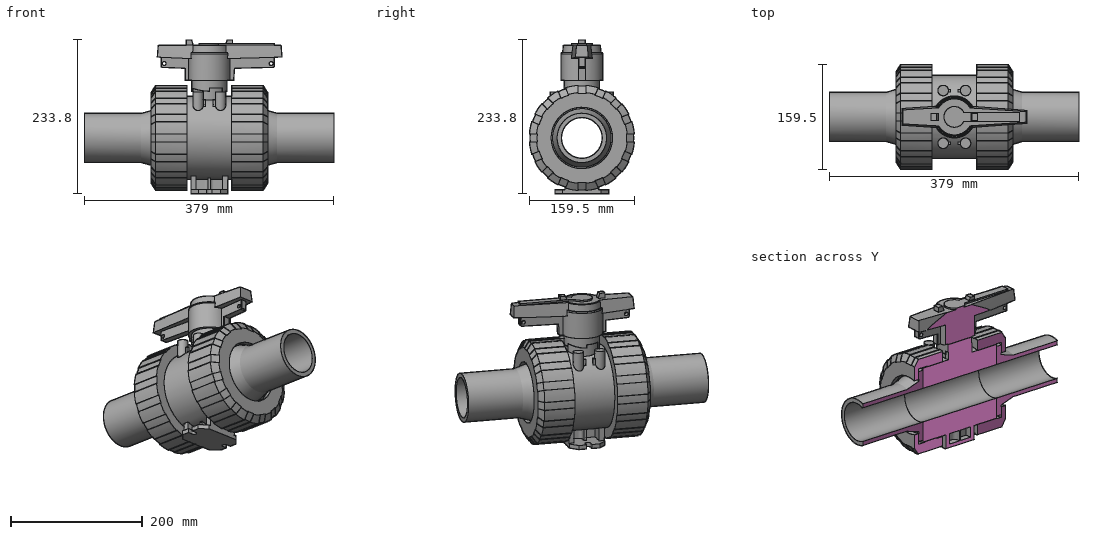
import cadquery as cq
import math


overall_length = 379.0
pipe_radius = 37.5
bore_radius = 30.7
taper_start_x = 103.2
taper_radius = 44.5
collar_radius = 60.0

nut_inner_x = 33.7
nut_outer_x = 88.7
nut_crest_radius = 80.0
nut_groove_depth = 1.2
nut_groove_width = 12.4
nut_groove_count = 16
nut_chamfer_length = 7.2
nut_chamfer_depth = 11.0
nut_opening_radius = 46.6
nut_shoulder_x = 80.0

body_radius = 63.5
body_half_length = 72.0

stem_radius = 27.1
stem_top_z = 87.5
stem_flat_x = 24.8
stem_flat_top_z = 70.5

stop_recess_depth = 0.5
stop_recess_angle = 47.0
stop_recess_top_z = 75.8

peg_radius = 8.0
peg_x = 17.0
peg_y = 40.0
peg_top_z = 70.0
peg_root_z = 32.0
peg_rib_inner_x = 5.9
peg_rib_width = 3.8
peg_rib_top_z = 57.5

foot_bottom_z = -85.0
foot_plate_thickness = 6.6
foot_half_length = 28.1
foot_half_width = 41.0
foot_corner_x = 11.5
foot_corner_y = 12.0
foot_slot_width = 8.2
foot_slot_depth = 12.0
foot_post_length = 8.2
foot_post_half_width = 25.9
foot_wall_half_thickness = 4.0
foot_rib_thickness = 3.6
foot_rib_half_width = 18.0
foot_rib_fillet = 5.0
foot_root_z = -50.0

hub_radius = 31.9
hub_rim_radius = 31.2
hub_rim_start_z = 127.4
hub_rim_z = 129.5
crown_base_radius = 29.5
crown_radius = 28.4
crown_edge = 1.0
handle_top_z = 141.0

arm_bottom_z = 120.5
arm_tip_bottom_z = 122.6
short_arm_length = 79.3
long_arm_length = 110.6
arm_tip_slope = 1.6
arm_root_half_width = 18.0
arm_root_half_width_top = 15.1
short_tip_half_width = 13.0
short_tip_half_width_top = 10.6
long_tip_half_width = 10.0
long_tip_half_width_top = 8.0
arm_tip_chamfer_length = 2.2
arm_tip_chamfer_depth = 0.7

fin_half_thickness = 5.4
fin_edge_chamfer = 1.0
fin_corner_chamfer = 1.6
fin_short_reach = 73.7
fin_long_reach = 98.8
fin_tip_bottom_z = 106.9
fin_root_bottom_z = 105.5
fin_skirt_reach = 37.1
fin_skirt_lean = 1.2
fin_hole_radius = 2.8
fin_hole_inset = 5.1
fin_hole_z = 112.9

pointer_disc_radius = 15.8
pointer_half_width = 6.9
pointer_reach = 98.7
pointer_height = 2.4

lug_outer_x = 35.2
lug_inner_x = 26.8
lug_foot_x = 24.4
lug_half_width = 5.3
lug_top_z = 148.83


def box(x0, x1, y0, y1, z0, z1):
    """Block between two opposite corners."""
    return cq.Workplane("XY").box(x1 - x0, y1 - y0, z1 - z0, centered=False).translate((x0, y0, z0))


def turned_x(profile):
    """Solid of revolution about X from (x, radius) points."""
    return cq.Workplane("XY").polyline(profile).close().revolve(360, (0, 0, 0), (1, 0, 0))


def cylinder_z(radius, z0, z1):
    return cq.Workplane("XY").workplane(offset=z0).circle(radius).extrude(z1 - z0)


def make_stop_recess():
    """Shallow recess in the -Y side of the stem; its upper edge steps at the middle to form a stop."""
    base = cq.Workplane("XY").workplane(offset=body_radius / 2)
    height = stop_recess_top_z - body_radius / 2
    ring = base.circle(stem_radius + 1).circle(stem_radius - stop_recess_depth).extrude(height)
    reach = 2 * stem_radius
    spread = reach * math.tan(math.radians(stop_recess_angle))
    square_half = base.polyline([(0, 0), (0, -reach), (spread, -reach)]).close().extrude(height)
    curved_half = box(-stem_flat_x, 0, -reach, 0, body_radius / 2, stop_recess_top_z)
    curved_top = cq.Workplane("YZ").circle(stop_recess_top_z).extrude(reach, both=True)
    return ring.intersect(square_half.union(curved_half.intersect(curved_top)))


def make_stem():
    stem = cylinder_z(stem_radius, body_radius / 2, stem_top_z)
    for flat_ends in ((-stem_radius, -stem_flat_x), (stem_flat_x, stem_radius)):
        flat = box(*flat_ends, -stem_radius, stem_radius, body_radius / 2, stem_flat_top_z)
        stem = stem.cut(flat)
    recess = make_stop_recess()
    for turn in (0, 180):
        stem = stem.cut(recess.rotate((0, 0, 0), (0, 0, 1), turn))
    return stem


def make_pegs():
    pegs = cq.Workplane("XY")
    for side_x in (-1, 1):
        for side_y in (-1, 1):
            x = side_x * peg_x
            y = side_y * peg_y
            peg = cylinder_z(peg_radius, peg_root_z, peg_top_z).translate((x, y, 0))
            rib_ends = sorted((x, side_x * peg_rib_inner_x))
            rib = box(*rib_ends, y - peg_rib_width / 2, y + peg_rib_width / 2, peg_root_z, peg_rib_top_z)
            pegs = pegs.add(peg.union(rib))
    return pegs


def make_foot():
    plate_top_z = foot_bottom_z + foot_plate_thickness
    flat_x = foot_half_length - foot_corner_x
    flat_y = foot_half_width - foot_corner_y
    plate = (
        cq.Workplane("XY")
        .workplane(offset=foot_bottom_z)
        .polyline([
            (-foot_half_length, -flat_y), (-flat_x, -foot_half_width),
            (flat_x, -foot_half_width), (foot_half_length, -flat_y),
            (foot_half_length, flat_y), (flat_x, foot_half_width),
            (-flat_x, foot_half_width), (-foot_half_length, flat_y),
        ])
        .close()
        .extrude(foot_plate_thickness)
    )
    slots = (
        cq.Workplane("XY")
        .workplane(offset=foot_bottom_z)
        .pushPoints([(0, -foot_half_width), (0, foot_half_width)])
        .slot2D(2 * foot_slot_depth, foot_slot_width, 90)
        .extrude(foot_plate_thickness)
    )
    plate = plate.cut(slots)

    wall = box(-foot_half_length, foot_half_length, -foot_wall_half_thickness, foot_wall_half_thickness,
               plate_top_z, foot_root_z)
    rib = box(-foot_rib_thickness / 2, foot_rib_thickness / 2, -foot_rib_half_width, foot_rib_half_width,
              plate_top_z, foot_root_z)
    corner = cq.selectors.BoxSelector(
        (-foot_rib_thickness, -foot_wall_half_thickness - 1, plate_top_z),
        (foot_rib_thickness, foot_wall_half_thickness + 1, foot_root_z),
    )
    web = wall.union(rib).edges("|Z").edges(corner).fillet(foot_rib_fillet)
    foot = plate.union(web)
    for x in (-foot_half_length, foot_half_length - foot_post_length):
        post = box(x, x + foot_post_length, -foot_post_half_width, foot_post_half_width,
                   plate_top_z, foot_root_z)
        foot = foot.union(post)
    return foot


def make_body():
    barrel = cq.Workplane("YZ").circle(body_radius).extrude(body_half_length, both=True)
    body = barrel.union(make_stem()).union(make_foot())
    for peg in make_pegs().vals():
        body = body.union(cq.Workplane(peg))
    bore = cq.Workplane("YZ").circle(bore_radius).extrude(body_half_length, both=True)
    return body.cut(bore)


def nut_blank(radius):
    return turned_x([
        (nut_inner_x, 0), (nut_inner_x, radius), (nut_outer_x - nut_chamfer_length, radius),
        (nut_outer_x, radius - nut_chamfer_depth), (nut_outer_x, 0),
    ])


def make_nut():
    crests = nut_blank(nut_crest_radius)
    groove = box(nut_inner_x, nut_outer_x, -nut_groove_width / 2, nut_groove_width / 2,
                 nut_opening_radius, nut_crest_radius + 1)
    for i in range(nut_groove_count):
        crests = crests.cut(groove.rotate((0, 0, 0), (1, 0, 0), i * 360 / nut_groove_count))
    nut = crests.union(nut_blank(nut_crest_radius - nut_groove_depth))
    cavity = turned_x([
        (nut_inner_x, 0), (nut_inner_x, body_radius), (nut_shoulder_x, body_radius),
        (nut_shoulder_x, nut_opening_radius), (nut_outer_x, nut_opening_radius), (nut_outer_x, 0),
    ])
    return nut.cut(cavity)


def make_pipe_end():
    return turned_x([
        (body_half_length, bore_radius), (body_half_length, collar_radius),
        (nut_shoulder_x, collar_radius), (nut_shoulder_x, taper_radius),
        (taper_start_x, pipe_radius), (overall_length / 2, pipe_radius),
        (overall_length / 2, bore_radius),
    ])


def make_hub():
    return (
        cq.Workplane("XZ")
        .polyline([
            (0, stem_top_z), (hub_radius, stem_top_z), (hub_radius, hub_rim_start_z),
            (hub_rim_radius, hub_rim_z), (crown_base_radius, hub_rim_z),
            (crown_radius, handle_top_z - crown_edge), (crown_radius - crown_edge, handle_top_z),
            (0, handle_top_z),
        ])
        .close()
        .revolve(360, (0, 0, 0), (0, 1, 0))
    )


def arm_outline(short_x, short_half, root_half, long_x, long_half):
    """Plan of both arms: widest at the stem axis and narrowing to the tips."""
    return [
        (-short_x, -short_half), (0, -root_half), (long_x, -long_half),
        (long_x, long_half), (0, root_half), (-short_x, short_half),
    ]


def make_arms():
    bottom = arm_outline(short_arm_length, short_tip_half_width, arm_root_half_width,
                         long_arm_length, long_tip_half_width)
    top = arm_outline(short_arm_length - arm_tip_slope, short_tip_half_width_top, arm_root_half_width_top,
                      long_arm_length - arm_tip_slope, long_tip_half_width_top)
    arms = (
        cq.Workplane("XY")
        .workplane(offset=arm_bottom_z)
        .polyline(bottom)
        .close()
        .workplane(offset=handle_top_z - arm_bottom_z)
        .polyline(top)
        .close()
        .loft(ruled=True)
    )
    for tip_x, side in ((short_arm_length, -1), (long_arm_length, 1)):
        underside = (
            cq.Workplane("XZ")
            .polyline([
                (side * hub_radius, arm_bottom_z), (side * tip_x, arm_bottom_z),
                (side * tip_x, arm_tip_bottom_z),
            ])
            .close()
            .extrude(arm_root_half_width, both=True)
        )
        top_x = tip_x - arm_tip_slope
        tip_bevel = (
            cq.Workplane("XZ")
            .polyline([
                (side * (top_x - arm_tip_chamfer_length), handle_top_z), (side * tip_x, handle_top_z),
                (side * tip_x, handle_top_z - arm_tip_chamfer_depth),
                (side * top_x, handle_top_z - arm_tip_chamfer_depth),
            ])
            .close()
            .extrude(arm_root_half_width, both=True)
        )
        arms = arms.cut(underside).cut(tip_bevel)
    return arms


def make_fin():
    """Upright web under the arms, with a skirt beside the hub and a hole near each tip."""
    fin = (
        cq.Workplane("XZ")
        .polyline([
            (-fin_skirt_reach, stem_top_z), (-fin_skirt_reach, fin_root_bottom_z),
            (-fin_short_reach + fin_corner_chamfer, fin_tip_bottom_z),
            (-fin_short_reach, fin_tip_bottom_z + fin_corner_chamfer), (-fin_short_reach, arm_tip_bottom_z + 1),
            (fin_long_reach, arm_tip_bottom_z + 1), (fin_long_reach, fin_tip_bottom_z + fin_corner_chamfer),
            (fin_long_reach - fin_corner_chamfer, fin_tip_bottom_z),
            (fin_skirt_reach + fin_skirt_lean, fin_root_bottom_z), (fin_skirt_reach, stem_top_z),
        ])
        .close()
        .extrude(fin_half_thickness, both=True)
    )
    fin = fin.edges("|Z").chamfer(fin_edge_chamfer)
    holes = (
        cq.Workplane("XZ")
        .pushPoints([
            (-fin_short_reach + fin_hole_inset, fin_hole_z), (fin_long_reach - fin_hole_inset, fin_hole_z),
        ])
        .circle(fin_hole_radius)
        .extrude(fin_half_thickness, both=True)
    )
    return fin.cut(holes)


def make_pointer():
    """Raised disc and bar on top, running along the long arm."""
    disc = cylinder_z(pointer_disc_radius, handle_top_z, handle_top_z + pointer_height)
    bar = box(0, pointer_reach, -pointer_half_width, pointer_half_width,
              handle_top_z, handle_top_z + pointer_height)
    return disc.union(bar)


def make_lug(side):
    return (
        cq.Workplane("XZ")
        .polyline([
            (side * lug_outer_x, handle_top_z), (side * lug_outer_x, lug_top_z),
            (side * lug_inner_x, lug_top_z), (side * lug_foot_x, handle_top_z),
        ])
        .close()
        .extrude(lug_half_width, both=True)
    )


def make_handle():
    handle = make_hub().union(make_arms()).union(make_fin()).union(make_pointer())
    for side in (-1, 1):
        handle = handle.union(make_lug(side))
    return handle


body = make_body()
handle = make_handle()
nuts = []
pipe_ends = []
for turn in (0, 180):
    nuts.append(make_nut().rotate((0, 0, 0), (0, 0, 1), turn).val())
    pipe_ends.append(make_pipe_end().rotate((0, 0, 0), (0, 0, 1), turn).val())

result = cq.Compound.makeCompound([body.val(), handle.val(), *nuts, *pipe_ends])